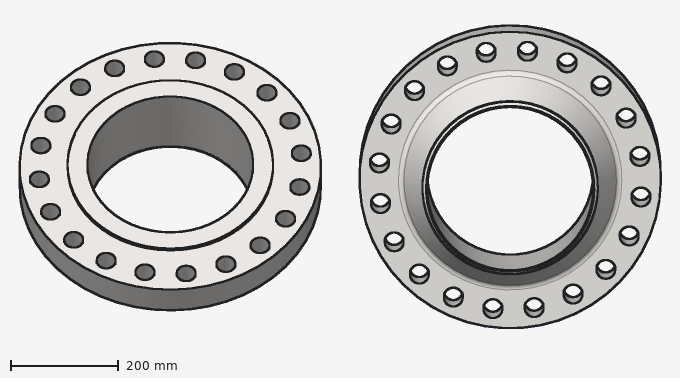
import cadquery as cq

flange_diameter = 559.0
total_height = 162.0
flange_thickness = 67.0
raised_face_diameter = 381.0
raised_face_height = 6.0
bore_diameter = 307.5

hub_base_diameter = 400.0
weld_end_diameter = 325.0
weld_end_height = 13.5
weld_bevel = 6.5
hub_fillet = 11.0

bolt_count = 20
bolt_circle_diameter = 489.0
bolt_hole_diameter = 35.0

flange_top = total_height - raised_face_height
flange_bottom = flange_top - flange_thickness


def flange_body():
    """Revolve the solid outline of hub, flange and raised face."""
    weld_radius = weld_end_diameter / 2
    outline = (
        cq.Workplane("XZ")
        .moveTo(0, 0)
        .lineTo(weld_radius - weld_bevel, 0)
        .lineTo(weld_radius, weld_bevel)
        .lineTo(weld_radius, weld_end_height)
        .lineTo(hub_base_diameter / 2, flange_bottom)
        .lineTo(flange_diameter / 2, flange_bottom)
        .lineTo(flange_diameter / 2, flange_top)
        .lineTo(raised_face_diameter / 2, flange_top)
        .lineTo(raised_face_diameter / 2, total_height)
        .lineTo(0, total_height)
        .close()
    )
    body = outline.revolve(360, (0, 0, 0), (0, 1, 0))
    hub_root_edge = (
        body.faces("%PLANE")
        .faces(cq.selectors.NearestToPointSelector((0, 0, flange_bottom)))
        .edges(cq.selectors.RadiusNthSelector(0))
    )
    return hub_root_edge.fillet(hub_fillet)


def bolt_holes():
    """Cylinders for the bolt circle, the first one on +X."""
    return (
        cq.Workplane("XY", origin=(0, 0, flange_bottom))
        .polarArray(bolt_circle_diameter / 2, 0, 360, bolt_count)
        .circle(bolt_hole_diameter / 2)
        .extrude(flange_thickness)
    )


bore = cq.Workplane("XY").circle(bore_diameter / 2).extrude(total_height)

result = flange_body().cut(bore).cut(bolt_holes())